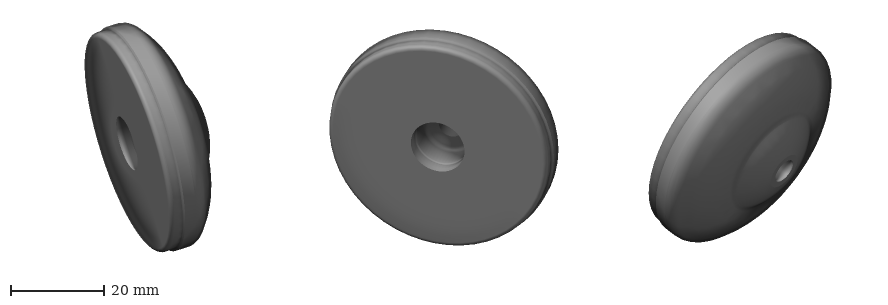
import cadquery as cq
import math


base_radius = 24.6
base_thickness = 2.75
base_edge_fillet = 1.0
base_bore_radius = 6.0

dome_radius = 25.1
total_height = 17.15
seat_chamfer_width = 0.5
seat_chamfer_depth = 0.4
rim_top = 5.75
shoulder_radius = 23.7
shoulder_height = 8.55
flank_mid_radius = 19.55
flank_mid_height = 11.4
neck_outer_radius = 12.7
neck_outer_height = 13.5
neck_inner_radius = 11.45
neck_inner_height = 13.95
cap_mid_radius = 7.85
cap_mid_height = 16.0
cap_flat_radius = 4.15

dome_bore_radius = 5.85
seat_fillet = 0.65
bore_depth = 8.1
bore_fillet = 1.0
floor_angle = 10.0
hole_radius = 2.75


def cylinder_to_seat(radius):
    """A cylinder from Y = 0 up to the seat between the bodies."""
    return cq.Workplane("XZ").circle(radius).extrude(-base_thickness)


def make_base():
    disc = cylinder_to_seat(base_radius)
    disc = disc.faces("<Y").edges().fillet(base_edge_fillet)
    return disc.cut(cylinder_to_seat(base_bore_radius))


def make_dome():
    fillet_center_radius = dome_bore_radius - bore_fillet
    slope = math.radians(floor_angle)
    fillet_mid = (slope + math.pi / 2) / 2

    def fillet_point(angle):
        return (
            fillet_center_radius + bore_fillet * math.sin(angle),
            bore_depth + bore_fillet * math.cos(angle),
        )

    floor_edge_radius, floor_edge_height = fillet_point(slope)
    floor_top = floor_edge_height + (floor_edge_radius - hole_radius) * math.tan(slope)

    seat_arc_offset = seat_fillet * (1 - math.sqrt(0.5))
    profile = (
        cq.Workplane("XY")
        .moveTo(dome_bore_radius + seat_fillet, base_thickness)
        .lineTo(dome_radius - seat_chamfer_width, base_thickness)
        .lineTo(dome_radius, base_thickness + seat_chamfer_depth)
        .lineTo(dome_radius, rim_top)
        .tangentArcPoint((shoulder_radius, shoulder_height), relative=False)
        .threePointArc((flank_mid_radius, flank_mid_height), (neck_outer_radius, neck_outer_height))
        .tangentArcPoint((neck_inner_radius, neck_inner_height), relative=False)
        .threePointArc((cap_mid_radius, cap_mid_height), (cap_flat_radius, total_height))
        .lineTo(hole_radius, total_height)
        .lineTo(hole_radius, floor_top)
        .lineTo(floor_edge_radius, floor_edge_height)
        .threePointArc(fillet_point(fillet_mid), (dome_bore_radius, bore_depth))
        .lineTo(dome_bore_radius, base_thickness + seat_fillet)
        .threePointArc(
            (dome_bore_radius + seat_arc_offset, base_thickness + seat_arc_offset),
            (dome_bore_radius + seat_fillet, base_thickness),
        )
    )
    return profile.close().revolve(360, (0, 0, 0), (0, 1, 0))


base = make_base()
dome = make_dome()

result = cq.Compound.makeCompound([base.val(), dome.val()])